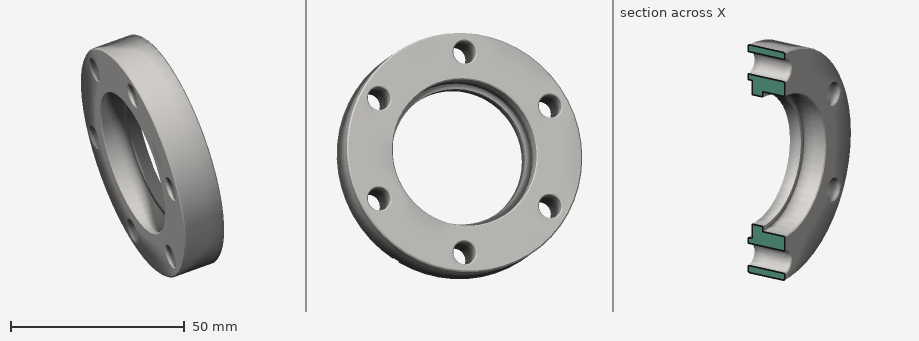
import cadquery as cq
import math

outer_diameter = 70.0
thickness = 12.7
outer_chamfer = 0.4

bore_diameter = 39.6
socket_diameter = 42.8
socket_depth = 7.5
socket_chamfer = 0.3

bolt_count = 6
bolt_circle_diameter = 58.7
bolt_hole_diameter = 6.7
bolt_chamfer = 0.3
first_bolt_angle = 90.0
bolt_pitch_angle = 360.0 / bolt_count

recess_diameter = 48.3
recess_depth = 1.4

groove_width = 2.0
groove_depth = recess_depth
groove_angle = first_bolt_angle + 2.5 * bolt_pitch_angle

front_y = -thickness / 2
back_y = thickness / 2


def cylinder(diameter, start_y, end_y):
    """Cylinder along Y, centred on the flange axis."""
    plane = cq.Workplane("XZ", origin=(0, end_y, 0))
    return plane.circle(diameter / 2).extrude(end_y - start_y)


def chamfered_hole(diameter, depth, chamfer):
    """Solid of a hole entered from the front face, flared by a 45 degree chamfer."""
    radius = diameter / 2
    profile = [
        (0, front_y),
        (radius + chamfer, front_y),
        (radius, front_y + chamfer),
        (radius, front_y + depth),
        (0, front_y + depth),
    ]
    return cq.Workplane("XY").polyline(profile).close().revolve(360, (0, 0), (0, 1))


def flange_disc():
    disc = cylinder(outer_diameter, front_y, back_y)
    return disc.edges().chamfer(outer_chamfer)


def bolt_holes():
    holes = cq.Workplane("XY")
    for index in range(bolt_count):
        angle = math.radians(first_bolt_angle + index * bolt_pitch_angle)
        x = bolt_circle_diameter / 2 * math.cos(angle)
        z = bolt_circle_diameter / 2 * math.sin(angle)
        hole = chamfered_hole(bolt_hole_diameter, thickness, bolt_chamfer)
        holes = holes.add(hole.translate((x, 0, z)))
    return holes.combine()


def rim_groove():
    groove = cq.Workplane("XY").box(
        outer_diameter / 2, groove_depth, groove_width, centered=(False, False, True)
    )
    groove = groove.translate((0, back_y - groove_depth, 0))
    return groove.rotate((0, 0, 0), (0, 1, 0), -groove_angle)


result = (
    flange_disc()
    .cut(cylinder(bore_diameter, front_y, back_y))
    .cut(chamfered_hole(socket_diameter, socket_depth, socket_chamfer))
    .cut(cylinder(recess_diameter, back_y - recess_depth, back_y))
    .cut(bolt_holes())
    .cut(rim_groove())
)